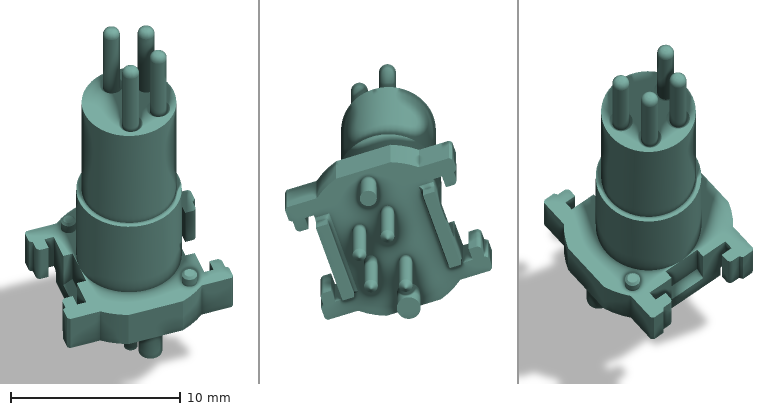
import cadquery as cq


lower_barrel_diameter = 6.24
lower_barrel_top = 5.52
upper_barrel_diameter = 5.6
barrel_top = 12.85

flange_thickness = 2.45
flange_diameter = 10.0
flange_width = 9.4
flange_depth = 7.38
arm_outer_x = 3.85
arm_inner_x = 2.85
arm_end_y = 5.2
arm_corner_chamfer = 0.15
hook_tip_x = 2.12
hook_inner_y = 4.28
hook_outer_y = 5.0
hook_corner_radius = 0.25

notch_width = 2.38
notch_floor_outer_z = -flange_thickness
notch_floor_inner_z = -2.15
notch_inner_y = lower_barrel_diameter / 2

foot_width = 5.0
foot_thickness = 0.71
foot_height = 1.0
foot_flare = 0.2

peg_x = 3.75
peg_height = 2.0
small_peg_diameter = 1.0
large_peg_diameter = 1.4
nub_x = 3.28
nub_y = 2.62
nub_diameter = 0.9
nub_height = 0.71
nub_chamfer = 0.15

pin_places = [(-1.07, 1.45), (1.07, 1.45), (-1.7, -0.5), (1.7, -0.5)]
pin_top = 17.52
pin_diameter = 1.0
pin_top_radius = 0.38
tail_diameter = 0.8
tail_cone_height = 0.4
pin_length = 23.8
pin_tip = pin_top - pin_length
pin_shoulder_z = -flange_thickness
countersink_diameter = 1.4
countersink_depth = (countersink_diameter - pin_diameter) / 2


def cylinder(diameter, bottom, top, x=0.0, y=0.0):
    return cq.Workplane("XY", origin=(x, y, bottom)).circle(diameter / 2).extrude(top - bottom)


def cone(top_diameter, bottom_diameter, height, x, y, top):
    """Cone that narrows downwards from its top face."""
    downwards = cq.Vector(0, 0, -1)
    solid = cq.Solid.makeCone(top_diameter / 2, bottom_diameter / 2, height, cq.Vector(x, y, top), downwards)
    return cq.Workplane(solid)


def block(x_min, x_max, y_min, y_max, bottom, top):
    size = (x_max - x_min, y_max - y_min, top - bottom)
    return cq.Workplane("XY", origin=(x_min, y_min, bottom)).box(*size, centered=False)


def on_both_ends(shape):
    """The shape at the +Y end joined with its mirror image at the -Y end."""
    return shape.union(shape.mirror("XZ"))


def make_arm():
    """Hooked arm at the +X, +Y corner."""
    beam_outline = [
        (arm_inner_x, 0),
        (arm_outer_x, 0),
        (arm_outer_x, arm_end_y - arm_corner_chamfer),
        (arm_outer_x - arm_corner_chamfer, arm_end_y),
        (arm_inner_x + arm_corner_chamfer, arm_end_y),
        (arm_inner_x, hook_outer_y),
    ]
    beam = cq.Workplane("XY").polyline(beam_outline).close().extrude(-flange_thickness)
    hook = block(hook_tip_x, arm_inner_x, hook_inner_y, hook_outer_y, -flange_thickness, 0)
    hook = hook.edges("|Z and >Y and <X").fillet(hook_corner_radius)
    return beam.union(hook)


def make_flange():
    disc = cylinder(flange_diameter, -flange_thickness, 0)
    plate = disc.intersect(cq.Workplane("XY").box(flange_width, flange_depth, 2 * flange_thickness))
    arm = make_arm()
    arms = on_both_ends(arm.union(arm.mirror("YZ")))
    return plate.union(arms)


def make_notches():
    outer_y = flange_depth / 2
    profile = [
        (notch_inner_y, 0),
        (outer_y, 0),
        (outer_y, notch_floor_outer_z),
        (notch_inner_y, notch_floor_inner_z),
    ]
    notch = cq.Workplane("YZ").polyline(profile).close().extrude(notch_width / 2, both=True)
    return on_both_ends(notch)


def make_feet():
    """Bars flush with the flange edges, flared at 45 degrees on their other three sides at the root."""
    outer_y = flange_depth / 2
    inner_y = outer_y - foot_thickness
    half_width = foot_width / 2
    foot_bottom = -flange_thickness - foot_height
    foot = block(-half_width, half_width, inner_y, outer_y, foot_bottom, -flange_thickness)
    flare = (
        cq.Workplane("XY", origin=(0, outer_y, -flange_thickness))
        .rect(foot_width + 2 * foot_flare, 2 * (foot_thickness + foot_flare))
        .extrude(-foot_flare, taper=45)
    )
    flare = flare.intersect(block(-flange_width / 2, flange_width / 2, 0, outer_y, foot_bottom, 0))
    return on_both_ends(foot.union(flare))


def make_nub(x, y):
    return cylinder(nub_diameter, 0, nub_height, x, y).faces(">Z").chamfer(nub_chamfer)


def make_pegs():
    bottom = -flange_thickness - peg_height
    small_peg = cylinder(small_peg_diameter, bottom, -flange_thickness, -peg_x)
    large_peg = cylinder(large_peg_diameter, bottom, -flange_thickness, peg_x)
    return small_peg.union(large_peg)


def make_pin_hole(x, y):
    """Through hole with a 45 degree countersink at its mouth."""
    hole = cylinder(pin_diameter, -flange_thickness, barrel_top, x, y)
    return hole.union(cone(countersink_diameter, pin_diameter, countersink_depth, x, y, barrel_top))


def make_housing():
    housing = make_flange()
    housing = housing.union(cylinder(lower_barrel_diameter, -flange_thickness, lower_barrel_top))
    housing = housing.union(cylinder(upper_barrel_diameter, 0, barrel_top))
    housing = housing.cut(make_notches())
    housing = housing.union(make_feet())
    housing = housing.union(make_pegs())
    housing = housing.union(make_nub(nub_x, nub_y)).union(make_nub(-nub_x, -nub_y))
    for x, y in pin_places:
        housing = housing.cut(make_pin_hole(x, y))
    return housing


def make_pin(x, y):
    """Contact with a rounded head, a shoulder level with the flange underside and a pointed thinner tail."""
    shank = cylinder(pin_diameter, pin_shoulder_z, pin_top, x, y)
    shank = shank.faces(">Z").edges().fillet(pin_top_radius)
    cone_base = pin_tip + tail_cone_height
    tail = cylinder(tail_diameter, cone_base, pin_shoulder_z, x, y)
    point = cone(tail_diameter, 0, tail_cone_height, x, y, cone_base)
    return shank.union(tail).union(point)


housing = make_housing()
pins = [make_pin(x, y) for x, y in pin_places]
result = cq.Compound.makeCompound([housing.val(), *[pin.val() for pin in pins]])